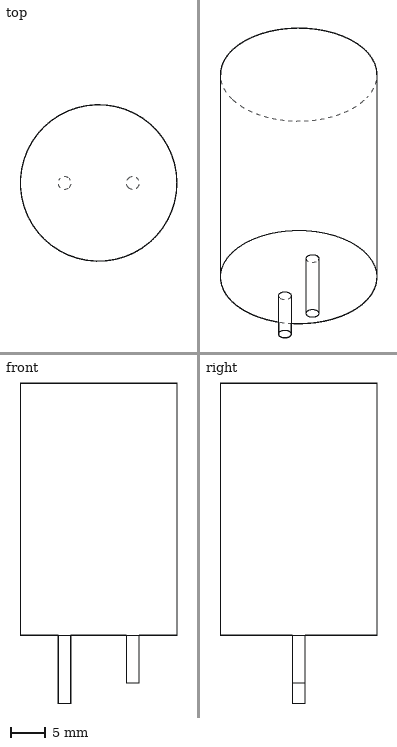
import cadquery as cq

total_height = 47.0
can_diameter = 23.0

lead_diameter = 1.9
lead_spacing = 10.0
long_lead_length = 10.0
short_lead_length = 7.0

can_height = total_height - long_lead_length


def make_can():
    """Upright cylindrical can with its bottom face at Z = 0."""
    return cq.Workplane("XY").circle(can_diameter / 2).extrude(can_height)


def make_lead(x, length):
    """Round lead hanging from the bottom face of the can."""
    return cq.Workplane("XY").center(x, 0).circle(lead_diameter / 2).extrude(-length)


can = make_can()

lead_layout = [
    (-lead_spacing / 2, long_lead_length),
    (lead_spacing / 2, short_lead_length),
]
leads = [make_lead(x, length) for x, length in lead_layout]

result = cq.Compound.makeCompound([can.val(), *[lead.val() for lead in leads]])